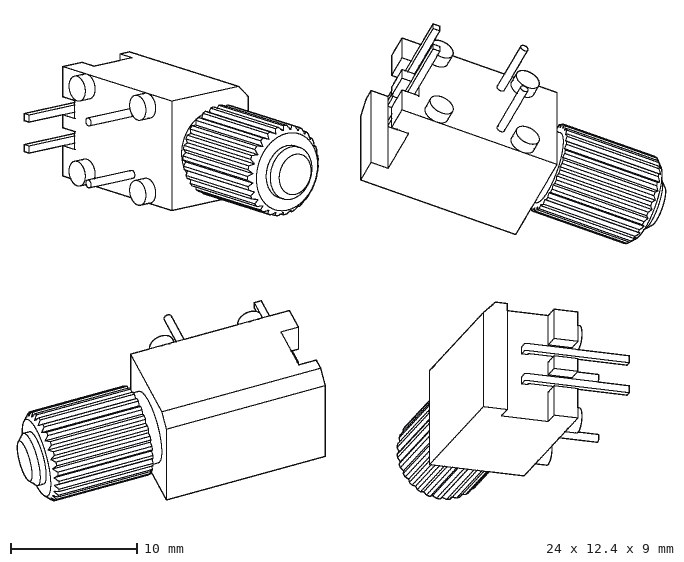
import cadquery as cq
import math


body_length = 13.5
body_depth = 7.9
body_height = 9.0
body_chamfer = 1.0
recess_length = 1.5
recess_lip = 2.0
slot_width = 1.46

peg_diameter = 2.02
peg_length = 1.0
peg_first_x = 3.0
peg_spacing = 7.5

pin_reach = 4.5
lead_pitch = 2.55
lead_width = 0.6
lead_thickness = 0.6
lead_arm_thickness = 0.5
lead_back_x = 0.65
lead_top_y = 4.2
lead_bend_radius = 0.12
round_pin_diameter = 0.65
round_pin_x = 8.6
round_pin_spacing = 2 * lead_pitch

axis_y = body_depth / 2
collar_diameter = 5.88
collar_length = 1.0
tip_diameter = 4.3
tip_length = 1.0
tip_chamfer = tip_length / 2
knob_diameter = 7.32
knob_length = 8.5
knob_chamfer = 0.5
groove_count = 27
groove_depth = 0.3
groove_land = 0.3


def make_body():
    body = cq.Workplane("XY").box(body_length, body_depth, body_height, centered=(False, False, True))
    body = body.edges(">Y and >Z").chamfer(body_chamfer)
    recess_depth = body_depth - 2 * recess_lip
    recess = (
        cq.Workplane("XY")
        .box(recess_length, recess_depth, body_height, centered=(False, False, True))
        .translate((0, recess_lip, 0))
    )
    body = body.cut(recess)
    for side in (-1, 1):
        slot = (
            cq.Workplane("XY")
            .box(recess_length, recess_lip, slot_width, centered=(False, False, True))
            .translate((0, 0, side * lead_pitch / 2))
        )
        body = body.cut(slot)
    return body


def make_post(diameter, length, x, z):
    """Cylinder standing out of the mounting face towards -Y."""
    return cq.Workplane("XZ").center(x, z).circle(diameter / 2).extrude(length)


def make_lead(z):
    """Bent lead: an arm out of the recess wall and a leg past the mounting face."""
    leg_front_x = lead_back_x + lead_thickness
    arm_bottom_y = lead_top_y - lead_arm_thickness
    lead = (
        cq.Workplane("XY", origin=(0, 0, z - lead_width / 2))
        .moveTo(lead_back_x, -pin_reach)
        .lineTo(lead_back_x, lead_top_y - lead_bend_radius)
        .radiusArc((lead_back_x + lead_bend_radius, lead_top_y), lead_bend_radius)
        .lineTo(recess_length, lead_top_y)
        .lineTo(recess_length, arm_bottom_y)
        .lineTo(leg_front_x + lead_bend_radius, arm_bottom_y)
        .radiusArc((leg_front_x, arm_bottom_y - lead_bend_radius), -lead_bend_radius)
        .lineTo(leg_front_x, -pin_reach)
        .close()
        .extrude(lead_width)
    )
    return lead


def shaft_plane(x):
    """Plane across the shaft: local x is +Y and local y is +Z."""
    return cq.Workplane("YZ", origin=(x, axis_y, 0))


def make_knob():
    rim_radius = knob_diameter / 2
    groove_step = 2 * math.pi / groove_count
    half_land = groove_land / knob_diameter
    knob_start = body_length + collar_length

    def polar(radius, angle):
        return (radius * math.cos(angle), radius * math.sin(angle))

    outline = shaft_plane(knob_start).moveTo(*polar(rim_radius, math.pi - half_land))
    for index in range(groove_count):
        land_angle = math.pi + index * groove_step
        next_land_angle = land_angle + groove_step
        outline = (
            outline.threePointArc(polar(rim_radius, land_angle), polar(rim_radius, land_angle + half_land))
            .lineTo(*polar(rim_radius - groove_depth, land_angle + groove_step / 2))
            .lineTo(*polar(rim_radius, next_land_angle - half_land))
        )
    ridged = outline.close().extrude(knob_length)
    chamfered = (
        shaft_plane(knob_start)
        .circle(rim_radius)
        .extrude(knob_length)
        .faces(">X")
        .chamfer(knob_chamfer)
    )
    return ridged.intersect(chamfered)


def make_collar():
    return shaft_plane(body_length).circle(collar_diameter / 2).extrude(collar_length)


def make_tip():
    tip_start = body_length + collar_length + knob_length
    tip = shaft_plane(tip_start).circle(tip_diameter / 2).extrude(tip_length)
    return tip.faces(">X").chamfer(tip_chamfer)


result = make_body().union(make_collar()).union(make_knob()).union(make_tip())

peg_z = (body_height - peg_diameter) / 2
round_pin_z = round_pin_spacing / 2
for side in (-1, 1):
    for peg_x in (peg_first_x, peg_first_x + peg_spacing):
        result = result.union(make_post(peg_diameter, peg_length, peg_x, side * peg_z))
    result = result.union(make_post(round_pin_diameter, pin_reach, round_pin_x, side * round_pin_z))
    result = result.union(make_lead(side * lead_pitch / 2))